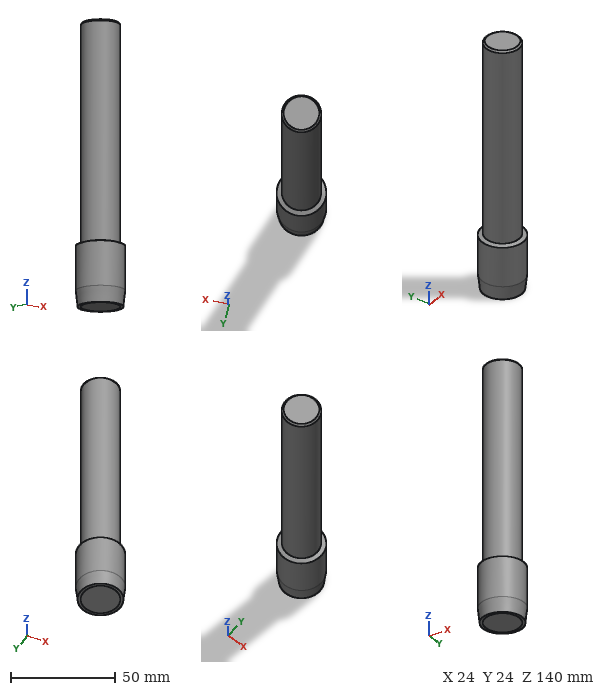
import cadquery as cq

ROD_LENGTH = 140.0
ROD_RADIUS = 9.5
ROD_CHAMFER = 1.0

SLEEVE_DIAMETER = 24.0
SLEEVE_RADIUS = SLEEVE_DIAMETER / 2
SLEEVE_HEIGHT = 30.8
SHOULDER_DROP = 0.8
TAPER_HEIGHT = 8.0
TAPER_END_RADIUS = 11.0


def make_rod():
    """Plain round rod with a chamfered top edge."""
    rod = cq.Workplane("XY").circle(ROD_RADIUS).extrude(ROD_LENGTH)
    return rod.faces(">Z").chamfer(ROD_CHAMFER)


def make_sleeve():
    """Revolved sleeve with a sloping shoulder, a tapered foot and a bore for the rod."""
    profile = (
        cq.Workplane("XZ")
        .moveTo(ROD_RADIUS, 0)
        .lineTo(TAPER_END_RADIUS, 0)
        .lineTo(SLEEVE_RADIUS, TAPER_HEIGHT)
        .lineTo(SLEEVE_RADIUS, SLEEVE_HEIGHT - SHOULDER_DROP)
        .lineTo(ROD_RADIUS, SLEEVE_HEIGHT)
        .close()
    )
    return profile.revolve(360, (0, 0, 0), (0, 1, 0))


rod = make_rod()
sleeve = make_sleeve()

result = cq.Compound.makeCompound([rod.val(), sleeve.val()])